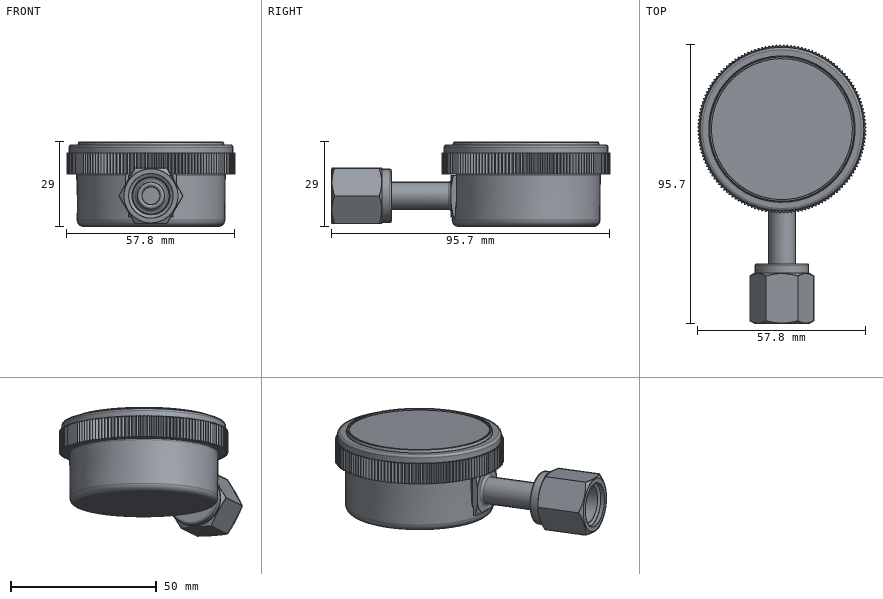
import cadquery as cq
import math


case_bottom_radius = 25.4
case_top_radius = 25.5
case_bottom_fillet = 2.3
taper_top = 17.5

ring_bottom = 18.0
ring_top = 25.3
tooth_tip_radius = 28.9
tooth_root_radius = 28.2
tooth_count = 144
tooth_step = 2 * math.pi / tooth_count

bezel_radius = 28.1
bezel_top = 28.0
bezel_fillet = 0.9
rim_base_radius = 25.2
rim_top_radius = 24.8
gauge_height = 29.0
window_radius = 24.2
window_depth = 0.5

stem_axis_height = 10.5
block_width = 15.3
block_bottom = 3.3
block_front = 25.7
clearance_radius = 8.8
clearance_plane = 23.9
block_chamfer_start = 8.1
block_chamfer_slope = 0.35

stem_radius = 4.7
stem_root_fillet = 0.9
flange_radius = 6.2
flange_front = 54.5
nose_base_radius = 5.5
nose_fillet = 0.5
lip_inner_radius = 3.1
lip_radius = (stem_radius - lip_inner_radius) / 2
nose_front = flange_front + nose_base_radius - stem_radius

nut_end = 95.7 - tooth_tip_radius
nut_back = 46.3
nut_collar_radius = 9.2
nut_collar_fillet = 0.6
hex_back = 49.5
hex_across_flats = 19.0
hex_corner_radius = hex_across_flats / 2 / math.cos(math.pi / 6)
hex_chamfer_start = 9.3
hex_chamfer_slope = math.tan(math.pi / 6)
nut_floor = 52.6
bore_radius = 6.5
mouth_radius = 7.7
mouth_depth = 1.4
mouth_cone_depth = (mouth_radius - bore_radius) * math.tan(math.pi / 6)


def stem_plane(distance):
    """Plane square to the stem axis, facing -Y; its local x is world X and local y is world Z."""
    return cq.Workplane("XZ", origin=(0, -distance, stem_axis_height))


def revolve_on_stem(points):
    """Revolve a closed (radius, distance) outline about the stem axis."""
    outline = [(radius, -distance) for radius, distance in points]
    profile = cq.Workplane("XY", origin=(0, 0, stem_axis_height)).polyline(outline).close()
    return profile.revolve(360, (0, 0), (0, 1))


def make_case():
    profile = (
        cq.Workplane("XZ")
        .lineTo(case_bottom_radius, 0)
        .lineTo(case_top_radius, taper_top)
        .lineTo(case_top_radius, ring_bottom)
        .lineTo(0, ring_bottom)
        .close()
    )
    case = profile.revolve(360, (0, 0), (0, 1))
    return case.faces("<Z").edges().fillet(case_bottom_fillet)


def make_knurled_ring():
    points = []
    for tooth in range(tooth_count):
        valley = tooth * tooth_step
        tip = valley + tooth_step / 2
        points.append((tooth_root_radius * math.cos(valley), tooth_root_radius * math.sin(valley)))
        points.append((tooth_tip_radius * math.cos(tip), tooth_tip_radius * math.sin(tip)))
    outline = cq.Workplane("XY", origin=(0, 0, ring_bottom)).polyline(points).close()
    return outline.extrude(ring_top - ring_bottom)


def make_bezel():
    bezel = cq.Workplane("XY", origin=(0, 0, ring_top)).circle(bezel_radius).extrude(bezel_top - ring_top)
    bezel = bezel.faces(">Z").edges().fillet(bezel_fillet)
    window_floor = gauge_height - window_depth
    rim = (
        cq.Workplane("XZ")
        .moveTo(0, bezel_top)
        .lineTo(rim_base_radius, bezel_top)
        .lineTo(rim_top_radius, gauge_height)
        .lineTo(window_radius, gauge_height)
        .lineTo(window_radius, window_floor)
        .lineTo(0, window_floor)
        .close()
        .revolve(360, (0, 0), (0, 1))
    )
    return bezel.union(rim)


def make_clearance():
    """U-shaped cut that flattens the case beside the stem block, open up to the ring."""
    cut_depth = case_top_radius - clearance_plane
    slot_height = ring_bottom - stem_axis_height
    slot = (
        stem_plane(clearance_plane)
        .center(0, slot_height / 2)
        .rect(2 * clearance_radius, slot_height)
        .extrude(cut_depth)
    )
    round_end = stem_plane(clearance_plane).circle(clearance_radius).extrude(cut_depth)
    block_span = cq.Workplane("XY", origin=(0, -clearance_plane, block_bottom)).box(
        2 * clearance_radius, 2 * cut_depth, ring_bottom - block_bottom, centered=(True, True, False)
    )
    return slot.union(round_end).intersect(block_span)


def make_stem_block():
    """Rectangular block whose front corners are cut by a cone about the stem axis."""
    height = taper_top - block_bottom
    depth = block_front - clearance_plane
    block = (
        stem_plane(clearance_plane)
        .center(0, block_bottom + height / 2 - stem_axis_height)
        .rect(block_width, height)
        .extrude(depth)
    )
    cone_back_radius = block_chamfer_start + depth / block_chamfer_slope
    cone = revolve_on_stem([
        (0, clearance_plane),
        (cone_back_radius, clearance_plane),
        (block_chamfer_start, block_front),
        (0, block_front),
    ])
    return block.intersect(cone)


def make_stem():
    """Stem with a filleted root, a flange held by the nut, and a conical nose with a round lip."""
    root_radius = stem_radius + stem_root_fillet
    root_end = block_front + stem_root_fillet
    bend = stem_root_fillet * (1 - math.sqrt(0.5))
    tangent = nose_fillet * math.tan(math.pi / 8)
    fillet_center = (nose_base_radius + tangent, -flange_front - nose_fillet)
    fillet_start = (fillet_center[0], -flange_front)
    fillet_middle = (
        fillet_center[0] - nose_fillet * math.sin(math.pi / 8),
        fillet_center[1] + nose_fillet * math.cos(math.pi / 8),
    )
    fillet_end = (
        fillet_center[0] - nose_fillet * math.sqrt(0.5),
        fillet_center[1] + nose_fillet * math.sqrt(0.5),
    )
    profile = (
        cq.Workplane("XY", origin=(0, 0, stem_axis_height))
        .moveTo(0, -clearance_plane)
        .lineTo(root_radius, -clearance_plane)
        .lineTo(root_radius, -block_front)
        .threePointArc((stem_radius + bend, -block_front - bend), (stem_radius, -root_end))
        .lineTo(stem_radius, -nut_floor)
        .lineTo(flange_radius, -nut_floor)
        .lineTo(flange_radius, -flange_front)
        .lineTo(*fillet_start)
        .threePointArc(fillet_middle, fillet_end)
        .lineTo(stem_radius, -nose_front)
        .threePointArc((stem_radius - lip_radius, -nose_front - lip_radius), (lip_inner_radius, -nose_front))
        .lineTo(0, -nose_front)
        .close()
    )
    return profile.revolve(360, (0, 0), (0, 1))


def make_gauge():
    gauge = make_case().cut(make_clearance())
    for feature in (make_knurled_ring(), make_bezel(), make_stem_block(), make_stem()):
        gauge = gauge.union(feature)
    return gauge


def make_hex():
    """Hexagon with flats facing +Z and -Z and both ends chamfered by a cone."""
    prism = stem_plane(hex_back).polygon(6, 2 * hex_corner_radius).extrude(nut_end - hex_back)
    chamfer_depth = (hex_corner_radius - hex_chamfer_start) * hex_chamfer_slope
    envelope = revolve_on_stem([
        (0, hex_back),
        (hex_chamfer_start, hex_back),
        (hex_corner_radius, hex_back + chamfer_depth),
        (hex_corner_radius, nut_end - chamfer_depth),
        (hex_chamfer_start, nut_end),
        (0, nut_end),
    ])
    return prism.intersect(envelope)


def make_nut_bore():
    """Clearance hole for the stem, main bore, and a wider mouth with a conical step."""
    mouth_floor = nut_end - mouth_depth
    return revolve_on_stem([
        (0, nut_back),
        (stem_radius, nut_back),
        (stem_radius, nut_floor),
        (bore_radius, nut_floor),
        (bore_radius, mouth_floor - mouth_cone_depth),
        (mouth_radius, mouth_floor),
        (mouth_radius, nut_end),
        (0, nut_end),
    ])


def make_nut():
    collar = stem_plane(nut_back).circle(nut_collar_radius).extrude(hex_back - nut_back)
    collar = collar.faces(">Y").edges().fillet(nut_collar_fillet)
    return collar.union(make_hex()).cut(make_nut_bore())


gauge = make_gauge()
nut = make_nut()
result = cq.Compound.makeCompound([gauge.val(), nut.val()])